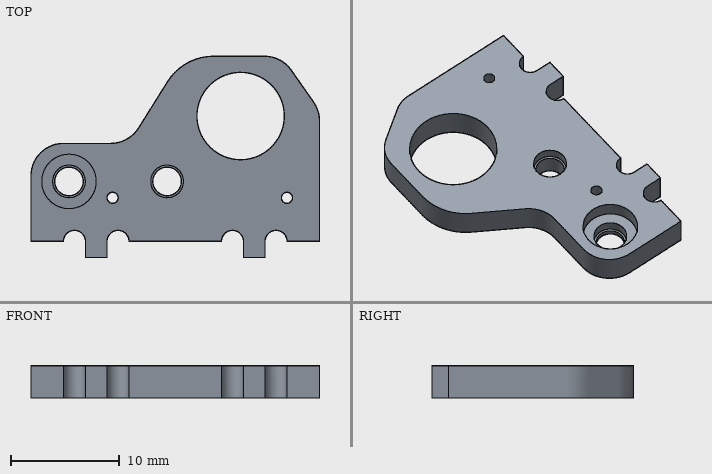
import cadquery as cq

width = 26.5
body_height = 17.0
shoulder_height = 9.0
thickness = 3.0

shoulder_end_x = 9.0
top_left_x = 14.0
top_right_x = 23.0
right_side_top_y = 12.0

corner_radius = 3.0
top_left_radius = 5.0

tab_left_edges = (5.0, 19.5)
tab_width = 2.0
tab_length = 1.5
notch_radius = 1.0

opening_center = (19.25, 11.5)
opening_diameter = 8.0

stepped_hole_y = 5.5
left_hole_x = 3.5
middle_hole_x = 12.5
seat_diameter = 3.0
seat_depth = 1.0
bore_diameter = 2.6
counterbore_diameter = 5.0
counterbore_depth = 1.5

pin_centers = ((7.5, 4.0), (23.5, 4.0))
pin_diameter = 1.0


def round_corner(plate, x, y, radius):
    """Round the vertical edge that stands at (x, y)."""
    nearest = cq.selectors.NearestToPointSelector((x, y, thickness / 2))
    return plate.edges("|Z").edges(nearest).fillet(radius)


def make_body():
    """Plate outline with all its upper corners rounded."""
    shoulder_start = (0, shoulder_height)
    shoulder_end = (shoulder_end_x, shoulder_height)
    top_left = (top_left_x, body_height)
    top_right = (top_right_x, body_height)
    right_side_top = (width, right_side_top_y)
    outline = [(0, 0), shoulder_start, shoulder_end, top_left, top_right, right_side_top, (width, 0)]
    body = cq.Workplane("XY").polyline(outline).close().extrude(thickness)
    for corner in (shoulder_start, shoulder_end, top_right, right_side_top):
        body = round_corner(body, *corner, corner_radius)
    return round_corner(body, *top_left, top_left_radius)


def cylinder(center, diameter, bottom_z, top_z):
    """Vertical cylinder between two heights."""
    x, y = center
    base = cq.Workplane("XY", origin=(x, y, bottom_z))
    return base.circle(diameter / 2).extrude(top_z - bottom_z)


def through_hole(plate, center, diameter):
    """Hole through the full thickness."""
    return plate.cut(cylinder(center, diameter, 0, thickness))


def stepped_hole(plate, center, seat_top_z):
    """Through bore with a wider seat that opens upward at seat_top_z."""
    plate = through_hole(plate, center, bore_diameter)
    return plate.cut(cylinder(center, seat_diameter, seat_top_z - seat_depth, seat_top_z))


def add_tab(plate, left_edge):
    """Tab below the lower edge, with a round notch cut on each side of it."""
    right_edge = left_edge + tab_width
    tab = cq.Workplane("XY").box(tab_width, tab_length, thickness, centered=False)
    plate = plate.union(tab.translate((left_edge, -tab_length, 0)))
    for notch_x in (left_edge - notch_radius, right_edge + notch_radius):
        plate = through_hole(plate, (notch_x, 0), 2 * notch_radius)
    return plate


result = make_body()

for tab_left_edge in tab_left_edges:
    result = add_tab(result, tab_left_edge)

result = through_hole(result, opening_center, opening_diameter)

for pin_center in pin_centers:
    result = through_hole(result, pin_center, pin_diameter)

left_hole_center = (left_hole_x, stepped_hole_y)
counterbore_floor_z = thickness - counterbore_depth
result = result.cut(cylinder(left_hole_center, counterbore_diameter, counterbore_floor_z, thickness))
result = stepped_hole(result, left_hole_center, counterbore_floor_z)
result = stepped_hole(result, (middle_hole_x, stepped_hole_y), thickness)